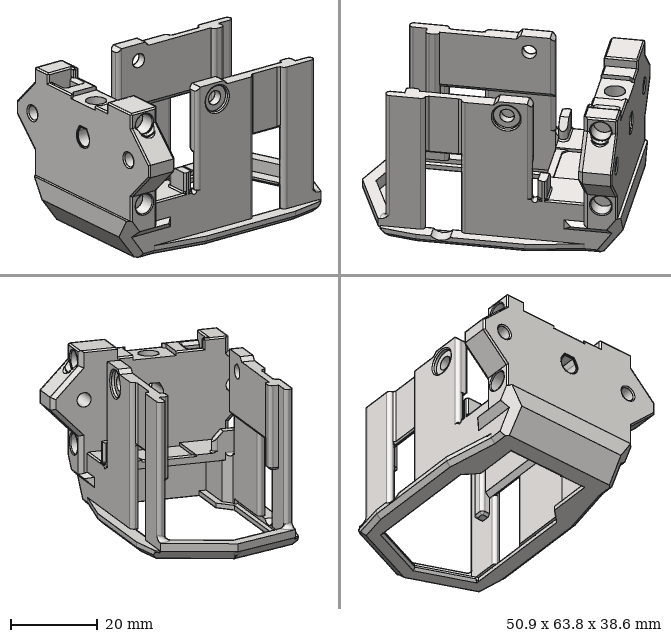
import cadquery as cq
import math


HEIGHT = 38.6
WALL_TOP = 37.6
WALL_OUT = 16.65
WALL_THIN = 2.0
WALL_THICK = 3.2
THICK_START = 22.4
WALL_FRONT = 21.1
WALL_BACK = 55.45
THICK_BACK = 51.25
WALL_ROUND = 0.95
END_COVE = 1.3
TAB_BACK = 30.05
WINDOW_FRONT, WINDOW_BACK = 37.7, 46.2
RECESS_X = 15.3
RECESS_EASE = 0.75
OUTER_JAMB_ROUND, INNER_JAMB_ROUND = 1.0, 0.9
BOSS_IN = 12.4
BOSS_FRONT = 48.05
BOSS_BOTTOM = 17.2
BOSS_ROUND = 0.9
BOSS_BEVEL = 0.65
SCREW_Y, SCREW_Z = 27.05, 34.45
SCREW_R, SCREW_HEAD_R = 1.7, 3.2
SCREW_HEAD_DEPTH = 1.0
SCREW_RIM = 0.3

FLANGE_HALF = 19.15
FLANGE_Z = 2.35
FLANGE_BEVEL = 1.15
LEDGE_Z = 1.15
LIP_Z = 4.3
TIP_Y = 63.8
LIP_CORNER_Y = 57.2
LIP_WIDTH = 3.25
TAPER_START_Y = 8.9
TAPER_FRONT_Y = 22.2
TAPER_BACK_Y = 47.85
TAPER_END = (17.7, 56.2)
FLANGE_BACK = 56.55
FLANGE_CORNER = 0.3
OPENING_HALF = 14.3
GROOVE_HALF = 15.6
REAR_BEVEL = 0.65
NOTCH_R = 3.2
NOTCH_Y, NOTCH_Z = 42.05, 4.6

PLATE_HALF = 18.5
PLATE_FRONT = 0.7
PLATE_BACK = 8.7
PLATE_BOTTOM = 7.8
EAR_HALF = 50.85 / 2
EAR_LOW, EAR_HIGH = 23.85, 27.0
EDGE = 0.4
BACK_EDGE = 1.0
STEP_Z = 35.2
STEP_LEFT, STEP_RIGHT = -13.35, 9.1
LUG_RIGHT = -12.0
LUG_FRONT = 7.35
SADDLE_Z = 34.2
SADDLE_HALF, SADDLE_FRONT_HALF = 5.3, 4.6
SADDLE_FLARE_Y = 1.3
POCKET_FLOOR = 32.55
POCKET_RIGHT = -9.2
POCKET_FRONT, POCKET_BACK = 2.55, 7.0
POCKET_RIM = 0.8
BOLT_Z = 25.85
BOLT_PLACES = (-19.35, 17.4)
BOLT_R = 1.7
BOLT_RIM = 0.3
CENTRE_R = 2.2
CENTRE_PEAK = 2.3
PEAK_LEAN = math.radians(60)
MAGNET_R = 2.4
MAGNET_DEPTH = 3.8
MAGNET_Y = 4.5
MAGNET_HIGH_Z, MAGNET_LOW_Z = 34.2, 14.3
MAGNET_RIM = 0.25
MAGNET_ENTRY_X = 20.0

CHIN_TOP, CHIN_BOTTOM = 10.85, 6.0
CHIN_BACK = 4.4
CHIN_CORNER_X = 14.75
CORNER_NORMAL = (1, -0.85, -0.6)
CORNER_ACROSS = (0, 0.6, -0.85)
FOOT_BACK = 13.45
FOOT_TOP = 8.4
ROOF_Z = 13.2
ROOF_THICK = 2.0
ROOF_BACK = 19.7
PANEL_LEFT, PANEL_RIGHT = -6.1, 7.2
PANEL_BACK = 18.0
PANEL_CORNER = 1.2
ROOM_HALF = 12.7
ROOM_CORNER_Y = 21.05
SLOT_FLOOR = 12.4
FIN_FRONT = 17.6
FIN_Z = 18.25
FIN_TIP, FIN_FLAT = 10.35, 12.8
FIN_FRONT_CORNER, FIN_BACK_CORNER = 0.5, 1.0

CLEAR = 0.65
wall_in = WALL_OUT - WALL_THIN
thick_in = WALL_OUT - WALL_THICK
ear_reach = EAR_HALF - PLATE_HALF
lip_slope = (TIP_Y - LIP_CORNER_Y) / WALL_OUT
ledge_tip = TIP_Y - LIP_WIDTH
opening_tip = TIP_Y - 2 * LIP_WIDTH


def box(x0, x1, y0, y1, z0, z1):
    return cq.Workplane("XY").box(x1 - x0, y1 - y0, z1 - z0, centered=False).translate((x0, y0, z0))


def plan(points, z0, z1):
    """Prism standing on a plan outline."""
    return cq.Workplane("XY").workplane(offset=z0).polyline(points).close().extrude(z1 - z0)


def side_profile(points, x0, x1):
    """Prism along X from an outline given as (y, z)."""
    return cq.Workplane("YZ").workplane(offset=x0).polyline(points).close().extrude(x1 - x0)


def front_profile(points, y0, y1):
    """Prism along Y from an outline given as (x, z)."""
    return cq.Workplane("XZ").workplane(offset=-y1).polyline(points).close().extrude(y1 - y0)


def symmetric(points):
    """Complete a right-hand outline with its mirror image."""
    return points + [(-x, y) for x, y in reversed(points) if x != 0]


def both_sides(solid):
    return solid.union(solid.mirror("YZ"))


def cylinder(start, direction, radius, depth):
    return cq.Workplane(obj=cq.Solid.makeCylinder(radius, depth, cq.Vector(*start), cq.Vector(*direction)))


def bore(start, direction, radius, depth, rim):
    """Round hole with a small conical rim."""
    cone = cq.Solid.makeCone(radius + rim, radius, rim, cq.Vector(*start), cq.Vector(*direction))
    return cylinder(start, direction, radius, depth).union(cq.Workplane(obj=cone))


def lip_y(x, tip):
    """Y of a line parallel to the pointed rear edge."""
    return tip - lip_slope * abs(x)


def base_ring():
    outline = symmetric([
        (WALL_OUT, 0), (WALL_OUT, TAPER_START_Y), (FLANGE_HALF, TAPER_FRONT_Y), (FLANGE_HALF, TAPER_BACK_Y),
        TAPER_END, (TAPER_END[0] - FLANGE_CORNER, FLANGE_BACK), (WALL_OUT, FLANGE_BACK),
        (WALL_OUT, LIP_CORNER_Y), (0, TIP_Y)])
    lip = plan(symmetric([(WALL_OUT, THICK_BACK), (WALL_OUT, LIP_CORNER_Y), (0, TIP_Y)]), FLANGE_Z, LIP_Z)
    ring = plan(outline, 0, FLANGE_Z).union(lip)
    return ring.intersect(rear_bevel_limit()).intersect(side_bevel_limit())


def rear_bevel_limit():
    """Space in front of a 45 degree bevel below the pointed rear edge."""
    reach = 2 * FLANGE_HALF
    low_tip = TIP_Y - FLANGE_Z * math.hypot(1, lip_slope)
    low = symmetric([(reach, -reach), (reach, lip_y(reach, low_tip)), (0, low_tip)])
    high = symmetric([(reach, -reach), (reach, lip_y(reach, TIP_Y)), (0, TIP_Y)])
    bevelled = cq.Workplane("XY").polyline(low).close().extrude(FLANGE_Z, taper=-45)
    return bevelled.union(plan(high, FLANGE_Z, LIP_Z))


def side_bevel_limit():
    """Space between 45 degree bevels below the sides, the rear taper carried on past the tip."""
    reach = 2 * FLANGE_HALF
    taper = (FLANGE_HALF - TAPER_END[0]) / (TAPER_END[1] - TAPER_BACK_Y)
    far_y = TIP_Y + reach
    far_x = FLANGE_HALF - taper * (far_y - TAPER_BACK_Y)
    sides = symmetric([(WALL_OUT, -reach), (WALL_OUT, TAPER_START_Y), (FLANGE_HALF, TAPER_FRONT_Y),
                       (FLANGE_HALF, TAPER_BACK_Y), (far_x, far_y)])
    low = cq.Workplane("XY").polyline(sides).close().offset2D(-FLANGE_BEVEL, "intersection")
    return low.extrude(FLANGE_BEVEL, taper=-45).union(plan(sides, FLANGE_BEVEL, LIP_Z))


def opening():
    """Hole through the base, its rear edge bevelled underneath."""
    front_half = thick_in - (TAPER_FRONT_Y - ROOF_BACK)
    hole = symmetric([(front_half, PLATE_BACK), (front_half, ROOF_BACK),
                      (OPENING_HALF, TAPER_FRONT_Y + OPENING_HALF - thick_in),
                      (OPENING_HALF, lip_y(OPENING_HALF, opening_tip)), (0, opening_tip)])
    low_tip = opening_tip + REAR_BEVEL * math.hypot(1, lip_slope)
    low = symmetric([(OPENING_HALF, TAPER_BACK_Y), (OPENING_HALF, lip_y(OPENING_HALF, low_tip)), (0, low_tip)])
    bevel = cq.Workplane("XY").polyline(low).close().extrude(REAR_BEVEL, taper=45)
    return plan(hole, 0, ROOF_Z - ROOF_THICK).union(bevel)


def cavity():
    """Room between the walls and below the roof, with a groove along the foot of the walls."""
    room = symmetric([(ROOM_HALF, PLATE_BACK), (ROOM_HALF, ROOM_CORNER_Y - (wall_in - ROOM_HALF)),
                      (wall_in, ROOM_CORNER_Y), (wall_in, lip_y(wall_in, ledge_tip)), (0, ledge_tip)])
    under_roof = plan(room, LEDGE_Z, ROOF_Z - ROOF_THICK)
    behind_roof = plan(room, LEDGE_Z, WALL_TOP)
    behind_roof = behind_roof.intersect(box(-WALL_OUT, WALL_OUT, ROOF_BACK, TIP_Y, 0, WALL_TOP))
    groove = box(-GROOVE_HALF, GROOVE_HALF, ROOM_CORNER_Y + GROOVE_HALF - wall_in,
                 lip_y(GROOVE_HALF, ledge_tip), LEDGE_Z, FLANGE_Z)
    return under_roof.union(behind_roof).union(groove)


def notch():
    """Shallow round groove across the left flange."""
    start = (-FLANGE_HALF - CLEAR, NOTCH_Y, NOTCH_Z)
    groove = cylinder(start, (1, 0, 0), NOTCH_R, FLANGE_HALF - OPENING_HALF + CLEAR)
    return groove.intersect(box(-FLANGE_HALF, 0, 0, TIP_Y, 0, FLANGE_Z))


def front_block():
    block = box(-WALL_OUT, WALL_OUT, 0, PLATE_BACK, FLANGE_Z, CHIN_TOP)
    hood = box(-WALL_OUT, WALL_OUT, PLATE_FRONT + CLEAR, ROOF_BACK, FLANGE_Z, ROOF_Z)
    hood = hood.edges("|Y and >Z").chamfer(EDGE)
    return block.union(hood).union(slot_floor())


def slot_floor():
    """Round-bottomed gap between the fins and the walls."""
    radius = (WALL_FRONT - ROOF_BACK) / 2
    middle_z = SLOT_FLOOR + radius
    link = box(-WALL_OUT, WALL_OUT, ROOF_BACK, WALL_FRONT + WALL_ROUND, FLANGE_Z, middle_z)
    return link.cut(cylinder((-WALL_OUT, ROOF_BACK + radius, middle_z), (1, 0, 0), radius, 2 * WALL_OUT))


def roof_panel():
    """Sunken middle of the roof, in two levels."""
    shallow = box(PANEL_LEFT, PANEL_RIGHT, PLATE_BACK, ROOF_BACK, ROOF_Z - EDGE, ROOF_Z)
    deep = plan([(PANEL_LEFT, PLATE_BACK), (PANEL_RIGHT, PLATE_BACK), (PANEL_RIGHT, PANEL_BACK - PANEL_CORNER),
                 (PANEL_RIGHT - PANEL_CORNER, PANEL_BACK), (PANEL_LEFT, PANEL_BACK)],
                ROOF_Z - 2 * EDGE, ROOF_Z)
    return shallow.union(deep)


def foot():
    """Knife-edged ribs that carry the plate's overhanging sides."""
    overhang = PLATE_HALF - WALL_OUT
    rib = front_profile([(wall_in, CHIN_BOTTOM), (WALL_OUT, CHIN_BOTTOM), (PLATE_HALF, PLATE_BOTTOM),
                         (WALL_OUT, FOOT_TOP), (wall_in, FOOT_TOP)], 0, FOOT_BACK)
    rib = rib.intersect(plan([(wall_in, 0), (PLATE_HALF, 0), (PLATE_HALF, FOOT_BACK - overhang),
                              (WALL_OUT, FOOT_BACK), (wall_in, FOOT_BACK)], 0, ROOF_Z))
    chin_side = box(wall_in, PLATE_HALF, 0, PLATE_BACK - BACK_EDGE, PLATE_BOTTOM, CHIN_TOP)
    return both_sides(rib.union(chin_side))


def chin_cuts():
    """Slope below the chin and a bevel across each of its corners."""
    below = CHIN_BACK * (1 + CLEAR / CHIN_BOTTOM)
    slope = side_profile([(-CLEAR, -CLEAR), (below, -CLEAR), (0, CHIN_BOTTOM), (-CLEAR, CHIN_BOTTOM)],
                         -PLATE_HALF, PLATE_HALF)
    size = 2 * PLATE_HALF
    corner = cq.Workplane(cq.Plane((CHIN_CORNER_X, 0, CHIN_BOTTOM), CORNER_ACROSS, CORNER_NORMAL))
    corner = corner.rect(size, size).extrude(size)
    corner = corner.intersect(box(0, size, -size, size, -size, CHIN_TOP))
    return slope.union(both_sides(corner))


def plate():
    right = [(PLATE_HALF, PLATE_BOTTOM), (PLATE_HALF, EAR_LOW - ear_reach), (EAR_HALF, EAR_LOW),
             (EAR_HALF, EAR_HIGH), (PLATE_HALF, EAR_HIGH + ear_reach), (PLATE_HALF, WALL_TOP)]
    left = [(-x, z) for x, z in reversed(right)]
    top = [(STEP_RIGHT, WALL_TOP), (STEP_RIGHT, STEP_Z), (STEP_LEFT, STEP_Z), (STEP_LEFT, WALL_TOP)]
    body = front_profile(right + top + left, PLATE_FRONT, PLATE_BACK)
    body = body.faces("<Y").edges().chamfer(EDGE)
    rear = body.faces(">Y").edges()
    body = rear.filter(lambda edge: abs(edge.Center().x) > PLATE_HALF - CLEAR).chamfer(BACK_EDGE)
    body = body.faces(">Y").edges("|X and (not <Z)").chamfer(EDGE)
    body = body.faces(">Z").edges("|Y").chamfer(EDGE)
    lug = box(STEP_LEFT - CLEAR, LUG_RIGHT, LUG_FRONT, PLATE_BACK, STEP_Z - CLEAR, WALL_TOP)
    lug = lug.edges(">X or >Z").edges("not <Z").chamfer(EDGE)
    return body.union(lug).cut(saddle())


def saddle():
    """Lowered middle of the plate's top, narrower at the front."""
    flare_end = SADDLE_FLARE_Y + SADDLE_HALF - SADDLE_FRONT_HALF
    return plan(symmetric([(SADDLE_FRONT_HALF, 0), (SADDLE_FRONT_HALF, SADDLE_FLARE_Y),
                           (SADDLE_HALF, flare_end), (SADDLE_HALF, PLATE_BACK + CLEAR)]), SADDLE_Z, WALL_TOP)


def top_pocket():
    """Pocket beside the left post, its rim widened at 45 degrees."""
    width = POCKET_RIGHT - STEP_LEFT
    length = POCKET_BACK - POCKET_FRONT
    pocket = box(STEP_LEFT, POCKET_RIGHT, POCKET_FRONT, POCKET_BACK, POCKET_FLOOR, WALL_TOP)
    mouth = cq.Workplane("XY").workplane(offset=STEP_Z - POCKET_RIM)
    mouth = mouth.center(STEP_LEFT + width / 2, POCKET_FRONT + length / 2).rect(width, length)
    mouth = mouth.extrude(POCKET_RIM, taper=-45)
    return pocket.union(mouth.intersect(box(STEP_LEFT, 0, 0, PLATE_BACK, 0, STEP_Z)))


def peaked_hole(grow, y1):
    """Middle hole whose top runs up at 60 degrees to a short flat."""
    radius = CENTRE_R + grow
    flat = CENTRE_PEAK + grow
    touch = (radius * math.sin(PEAK_LEAN), radius * math.cos(PEAK_LEAN))
    peak = ((radius - flat * math.cos(PEAK_LEAN)) / math.sin(PEAK_LEAN), flat)
    hole = cylinder((0, 0, 0), (0, 1, 0), radius, y1)
    return hole.union(front_profile(symmetric([(0, 0), touch, peak]), 0, y1)).translate((0, 0, BOLT_Z))


def bolt_holes():
    holes = peaked_hole(0, PLATE_BACK + CLEAR).union(peaked_hole(BOLT_RIM, PLATE_FRONT + BOLT_RIM))
    for x in BOLT_PLACES:
        holes = holes.union(bore((x, PLATE_FRONT, BOLT_Z), (0, 1, 0), BOLT_R, PLATE_BACK, BOLT_RIM))
    return holes


def magnet_holes():
    """One blind hole from above and two from each side."""
    inward = (-1, 0, 0)
    sides = bore((PLATE_HALF, MAGNET_Y, MAGNET_LOW_Z), inward, MAGNET_R, MAGNET_DEPTH, MAGNET_RIM)
    sides = sides.union(bore((PLATE_HALF, MAGNET_Y, MAGNET_HIGH_Z), inward, MAGNET_R, MAGNET_DEPTH, MAGNET_RIM))
    ear_end = (EAR_HALF, MAGNET_Y, MAGNET_HIGH_Z)
    sides = sides.union(cylinder(ear_end, inward, MAGNET_R, ear_reach))
    sides = sides.union(cylinder(ear_end, inward, MAGNET_R + MAGNET_RIM, EAR_HALF - MAGNET_ENTRY_X))
    middle = cylinder((0, MAGNET_Y, SADDLE_Z), (0, 0, -1), MAGNET_R, MAGNET_DEPTH)
    return both_sides(sides).union(middle)


def side_wall():
    thin = box(wall_in, WALL_OUT, WALL_FRONT, WALL_BACK, FLANGE_Z, WALL_TOP)
    thin = thin.edges("|Z").fillet(WALL_ROUND)
    thick = box(thick_in, WALL_OUT, WALL_FRONT, THICK_BACK, THICK_START, HEIGHT)
    thick = thick.edges("|Z and <Y").fillet(WALL_ROUND)
    step = WALL_THICK - WALL_THIN
    underside = front_profile([(thick_in - CLEAR, THICK_START - CLEAR), (wall_in + CLEAR, THICK_START - CLEAR),
                               (thick_in - CLEAR, THICK_START + step + CLEAR)], 0, TIP_Y)
    tab_rise = HEIGHT - WALL_TOP
    tab = side_profile([(WALL_FRONT, 0), (WALL_FRONT, WALL_TOP), (WALL_FRONT + tab_rise, HEIGHT),
                        (TAB_BACK - tab_rise, HEIGHT), (TAB_BACK, WALL_TOP), (TIP_Y, WALL_TOP),
                        (TIP_Y, 0)], 0, FLANGE_HALF)
    boss = box(BOSS_IN, wall_in + CLEAR, BOSS_FRONT, THICK_BACK, BOSS_BOTTOM, WALL_TOP)
    boss = boss.edges("|Z and <X").fillet(BOSS_ROUND)
    boss = boss.faces("<Z").edges("<X").chamfer(BOSS_BEVEL)
    return thin.union(thick.cut(underside).intersect(tab)).union(boss)


def end_cove():
    """Cove between the round rear end of the wall and the top of the lip."""
    x = WALL_OUT - WALL_ROUND
    y = WALL_BACK - WALL_ROUND
    reach = WALL_ROUND + END_COVE
    ring = cq.Solid.makeTorus(reach, END_COVE, cq.Vector(x, y, LIP_Z + END_COVE))
    cove = cylinder((x, y, LIP_Z), (0, 0, 1), reach, END_COVE).cut(cq.Workplane(obj=ring))
    lip_top = plan([(0, ledge_tip), (wall_in, lip_y(wall_in, ledge_tip)), (wall_in, y), (WALL_OUT, y),
                    (WALL_OUT, LIP_CORNER_Y), (0, TIP_Y)], LIP_Z, WALL_TOP)
    return cove.intersect(lip_top)


def flared_slot(face, radius, outward, z1):
    """Cut between the window jambs from a wall face, rounding the jambs at that face.

    outward is 1 for the outer face and -1 for the inner face.
    """
    y0, y1 = WINDOW_FRONT, WINDOW_BACK
    nose = face - outward * radius
    beyond = face + outward * CLEAR
    bend = radius * math.sqrt(0.5)
    path = cq.Workplane("XY").workplane(offset=FLANGE_Z)
    path = path.moveTo(beyond, y0 - radius).lineTo(face, y0 - radius)
    path = path.threePointArc((nose + outward * bend, y0 - radius + bend), (nose, y0))
    path = path.lineTo(RECESS_X, y0 + RECESS_EASE).lineTo(RECESS_X, y1 - RECESS_EASE).lineTo(nose, y1)
    path = path.threePointArc((nose + outward * bend, y1 + radius - bend), (face, y1 + radius))
    return path.lineTo(beyond, y1 + radius).close().extrude(z1 - FLANGE_Z)


def window():
    """Window with the shallow recess that continues above it on the outer face."""
    hole = box(0, FLANGE_HALF, WINDOW_FRONT, WINDOW_BACK, FLANGE_Z, THICK_START)
    outer = flared_slot(WALL_OUT, OUTER_JAMB_ROUND, 1, HEIGHT)
    inner = flared_slot(wall_in, INNER_JAMB_ROUND, -1, THICK_START)
    bevel = front_profile([(RECESS_X + CLEAR, THICK_START - CLEAR), (RECESS_X - EDGE - CLEAR, THICK_START - CLEAR),
                           (RECESS_X + CLEAR, THICK_START + EDGE + CLEAR)], WINDOW_FRONT, WINDOW_BACK)
    return hole.union(outer).union(inner).union(bevel)


def screw_hole():
    start = (WALL_OUT, SCREW_Y, SCREW_Z)
    inward = (-1, 0, 0)
    head = bore(start, inward, SCREW_HEAD_R, SCREW_HEAD_DEPTH, SCREW_RIM)
    return head.union(cylinder(start, inward, SCREW_R, WALL_OUT))


def fin_outline(z):
    half = (ROOF_BACK - FIN_FRONT) / 2
    path = cq.Workplane("XY").workplane(offset=z)
    path = path.moveTo(FIN_TIP + half, FIN_FRONT).lineTo(WALL_OUT - EDGE, FIN_FRONT)
    path = path.lineTo(WALL_OUT, FIN_FRONT + FIN_FRONT_CORNER).lineTo(WALL_OUT, ROOF_BACK - FIN_BACK_CORNER)
    path = path.lineTo(WALL_OUT - FIN_FRONT_CORNER, ROOF_BACK).lineTo(FIN_TIP + half, ROOF_BACK)
    return path.threePointArc((FIN_TIP, FIN_FRONT + half), (FIN_TIP + half, FIN_FRONT)).close()


def fin():
    """Upright fin with a round, sloping inner end and a bevelled foot."""
    slope_z = FIN_Z - (FIN_FLAT - FIN_TIP)
    slope = front_profile([(FIN_TIP - CLEAR, slope_z - CLEAR), (FIN_FLAT, FIN_Z), (FIN_FLAT, FIN_Z + CLEAR),
                           (FIN_TIP - CLEAR, FIN_Z + CLEAR)], FIN_FRONT, ROOF_BACK)
    upright = fin_outline(SLOT_FLOOR).extrude(FIN_Z - SLOT_FLOOR).cut(slope)
    foot_bevel = fin_outline(ROOF_Z).offset2D(EDGE).extrude(EDGE, taper=45)
    return upright.union(foot_bevel.intersect(box(0, WALL_OUT, 0, ROOF_BACK, 0, HEIGHT)))


frame = base_ring().union(front_block()).union(foot())
frame = frame.cut(cavity()).cut(opening()).cut(roof_panel())
wall = side_wall().union(end_cove()).union(fin()).cut(window()).cut(screw_hole())
body = frame.union(both_sides(wall)).cut(notch()).union(plate())
result = body.cut(top_pocket()).cut(bolt_holes()).cut(magnet_holes()).cut(chin_cuts())